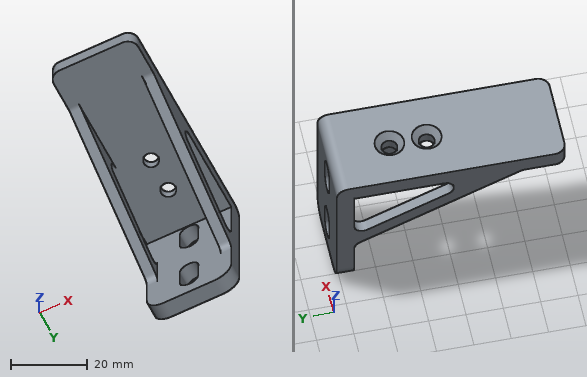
import cadquery as cq

width = 24.8
shelf_length = 61.6
height = 40.0
thickness = 4.7

outer_bend_radius = 3.1
shelf_corner_radius = 3.1
wall_corner_radius = 5.0
rib_blend_radius = 2.5

rib_width = 3.15
brace_reach = 49.7
brace_drop = 25.25
window_reach = 40.4
window_drop = 21.0

hole_diameter = 4.2
countersink_diameter = 7.8
countersink_angle = 90
first_hole_offset = 16.7
hole_count = 2
hole_spacing = 10.0

slot_width = 5.4
slot_length = 10.8
first_slot_drop = 10.4
slot_count = 2
slot_spacing = 20.0

cut_clearance = 0.6


def side_profile(points, extrude_width):
    """Extrude a YZ outline symmetrically about the centre plane."""
    return cq.Workplane("YZ").polyline(points).close().extrude(extrude_width / 2, both=True)


def make_braced_body():
    """Full-width bracket with sloping braces and rounded outline."""
    outline = [
        (0, 0),
        (-shelf_length, 0),
        (-shelf_length, -thickness),
        (-brace_reach, -thickness),
        (-thickness, -brace_drop),
        (-thickness, -height),
        (0, -height),
    ]
    body = side_profile(outline, width)
    for y, z in [(-brace_reach, -thickness), (-thickness, -brace_drop)]:
        blend_edge = cq.selectors.NearestToPointSelector((0, y, z))
        body = body.edges(blend_edge).fillet(rib_blend_radius)
    bend_edge = cq.selectors.NearestToPointSelector((0, 0, 0))
    return body.edges(bend_edge).fillet(outer_bend_radius)


def make_rib_window():
    """Triangular opening through both ribs, square at the shelf and wall joint."""
    corners = [
        (-thickness, -thickness),
        (-window_reach, -thickness),
        (-thickness, -window_drop),
    ]
    window = side_profile(corners, width + 2 * cut_clearance)
    for y, z in corners[1:]:
        corner_edge = cq.selectors.NearestToPointSelector((0, y, z))
        window = window.edges(corner_edge).fillet(rib_blend_radius)
    return window


def make_rib_gap():
    """Open space between the two ribs."""
    gap_width = width - 2 * rib_width
    return cq.Workplane("XY").box(
        gap_width, shelf_length, height, centered=(True, False, False)
    ).translate((0, -thickness - shelf_length, -thickness - height))


def make_slots():
    """Vertical slots through the wall."""
    centers = [(0, -first_slot_drop - i * slot_spacing) for i in range(slot_count)]
    return (
        cq.Workplane("XZ")
        .pushPoints(centers)
        .slot2D(slot_length, slot_width, angle=90)
        .extrude(thickness + cut_clearance)
    )


bracket = make_braced_body().cut(make_rib_window()).cut(make_rib_gap())

bracket = bracket.faces("<Y").edges("|Z").fillet(shelf_corner_radius)
bracket = bracket.faces("<Z").edges("|Y").fillet(wall_corner_radius)

bracket = bracket.cut(make_slots())

hole_centers = [(0, -first_hole_offset - i * hole_spacing) for i in range(hole_count)]
result = (
    bracket.faces(">Z")
    .workplane(origin=(0, 0, 0))
    .pushPoints(hole_centers)
    .cskHole(hole_diameter, countersink_diameter, countersink_angle, depth=thickness + cut_clearance)
)